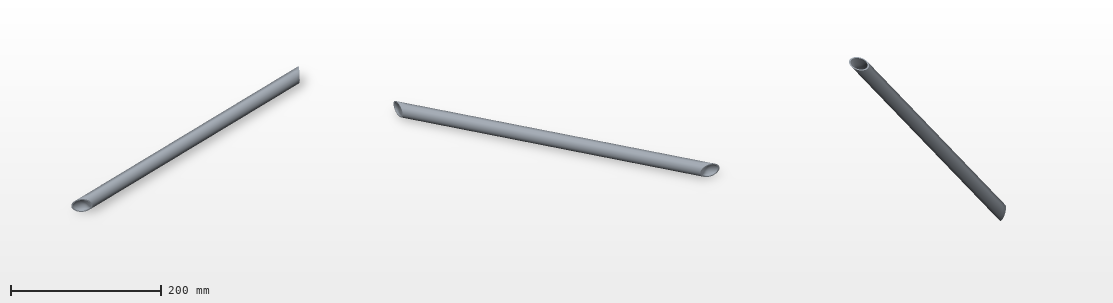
import cadquery as cq

tube_length = 460.01
outer_diameter = 20.0
wall_thickness = 1.5

outer_radius = outer_diameter / 2
inner_radius = outer_radius - wall_thickness
half_length = tube_length / 2
mitre_run = outer_diameter


def make_tube():
    """Straight tube, centred on the origin, with square ends."""
    return (
        cq.Workplane("XZ")
        .circle(outer_radius)
        .circle(inner_radius)
        .extrude(half_length, both=True)
    )


def make_mitred_envelope():
    """Trapezoidal prism whose slanted sides set the mitred ends."""
    short_half_length = half_length - mitre_run
    return (
        cq.Workplane("XY")
        .moveTo(-outer_radius, -half_length)
        .lineTo(outer_radius, -short_half_length)
        .lineTo(outer_radius, short_half_length)
        .lineTo(-outer_radius, half_length)
        .close()
        .extrude(outer_radius, both=True)
    )


result = make_tube().intersect(make_mitred_envelope())